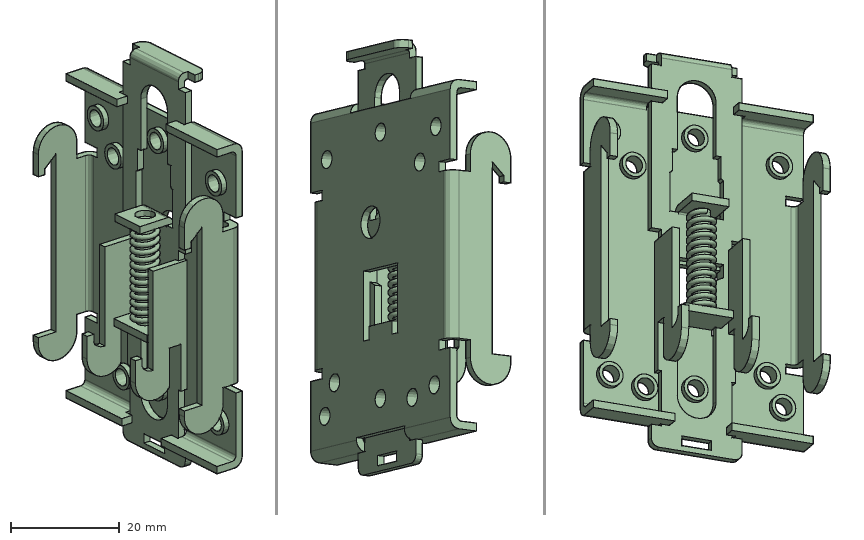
import cadquery as cq
import math

SHEET = 1.5
OUTER_BEND = 2.0
INNER_BEND = 1.0

BASE_HALF = 22.1
BASE_BOTTOM, BASE_TOP = 4.4, 69.7
FLANGE_FRONT = -6.0
NOTCH_FRONT = -3.55
TOP_NOTCH_HALF, TOP_TIP_HALF = 9.45, 7.2
LOW_NOTCH_HALF, LOW_TIP_HALF = 7.6, 5.75
TOP_NOTCH_Z, LOW_NOTCH_Z = 67.8, 6.85
SIDE_BOTTOM, SIDE_TOP = 21.35, 52.8
RELIEF_SIZE = 1.9
RELIEF_HALF = 18.6

BOSS_CENTRES = [
    (-17.6, 61.4), (-12.45, 55.45), (0, 62.85), (17.0, 60.2),
    (-17.1, 13.15), (-10.1, 11.8), (0, 13.1), (14.6, 18.1), (17.65, 12.3),
]
BOSS_DIA, BOSS_HOLE_DIA = 4.8, 3.3
BOSS_HEIGHT = 1.2
BACK_HOLE_DIA = 6.0
BACK_HOLE_X, BACK_HOLE_Z = 3.15, 46.5

HOOK_FRONT = -13.7
HOOK_BACK = -4.6
HOOK_THROAT = -9.5
HOOK_TIP_BACK = -12.1
HOOK_RADIUS = (HOOK_BACK - HOOK_FRONT) / 2
HOOK_MIDDLE = (HOOK_BACK + HOOK_FRONT) / 2
HOOK_TOP, HOOK_BOTTOM = 60.65, 13.5
UPPER_THROAT_Z, UPPER_TIP_Z = 55.05, 51.6
LOWER_TIP_Z = 19.2

SLIDER_BACK = -SHEET
SLIDER_FRONT = SLIDER_BACK - SHEET
SLIDER_TOP = 78.8
SLIDER_WIDE, SLIDER_NARROW = 9.1, 7.1
FOOT_TOP = 4.3
SHOULDER_Z, NECK_Z = 43.3, 75.85
FOOT_CORNER, LIP_CORNER = 1.6, 2.0
LIP_BACK = 2.1
LIP_NECK_BACK = -0.7
LIP_BEND_OUTER, LIP_BEND_INNER = 1.4, 0.5
GRIP_HALF, GRIP_BOTTOM, GRIP_TOP = 3.0, 1.1, 3.0

SLOT_HALF = 7.8 / 2
STEP_HALF, OPENING_HALF = 4.9, 5.35
UPPER_SLOT_TOP, STEP_Z, UPPER_SLOT_BOTTOM = 74.0, 59.7, 47.3
UPPER_TAPER_TOP, UPPER_WIDE_Z = 55.4, 55.0
LOWER_SLOT_TOP, LOWER_WIDE_Z, LOWER_NARROW_Z, LOWER_SLOT_BOTTOM = 38.4, 35.8, 35.0, 7.0

SLIDER_HOOK_X = 7.1
SLIDER_HOOK_TOP, SLIDER_HOOK_SHOULDER, SLIDER_TIP_Z = 41.3, 24.7, 24.4
SLIDER_HOOK_BOTTOM = 15.3
SLIDER_SHANK_BACK = -5.7
SLIDER_THROAT_Z = 21.35
SLIDER_THROAT_ARC_Z = 22.85

UPPER_SEAT_HALF, UPPER_SEAT_FRONT = 3.7, -9.3
UPPER_SEAT_OUTER_BEND, UPPER_SEAT_INNER_BEND = 1.4, 0.3
LOWER_SEAT_HALF, LOWER_SEAT_FRONT = 4.9, -8.6
LOWER_SEAT_NECK_HALF = 7.3 / 2
LOWER_SEAT_TOP = 27.1
SEAT_RELIEF_Z = 24.6
WINDOW_TOP = 37.65
PIN_Y, PIN_DIA = -5.1, 3.3
SEAT_HOLE_DIA, SEAT_HOLE_FLOOR = 3.8, 47.6
WIRE_DIA = 1.0
SPRING_OUTER_DIA = 5.6
SPRING_RISE, SPRING_TURNS = 19.4, 12.75


def block(x_half, y_front, y_back, z_low, z_high):
    """Box centred on X between two depths and two heights."""
    base_centre = (0, (y_front + y_back) / 2, z_low)
    return cq.Workplane("XY", origin=base_centre).rect(2 * x_half, y_back - y_front).extrude(z_high - z_low)


def side_block(x_inner, x_outer, y_front, y_back, z_low, z_high):
    """Box reaching from x_inner to x_outer, with its mirror image."""
    half = cq.Workplane("XY").box(x_outer - x_inner, y_back - y_front, z_high - z_low, centered=False) \
        .translate((x_inner, y_front, z_low))
    return half.union(half.mirror("YZ"))


def side_pair(profile, x_middle):
    """Extrude a YZ outline to one sheet thickness around +x_middle and -x_middle."""
    plate = profile.extrude(SHEET / 2, both=True).translate((x_middle, 0, 0))
    return plate.union(plate.mirror("YZ"))


def along_y(points_xz, diameter, y_front, y_back):
    """Round bars along Y at the given (x, z) centres."""
    return cq.Workplane("XZ", origin=(0, y_back, 0)).pushPoints(points_xz).circle(diameter / 2) \
        .extrude(y_back - y_front)


def fillet_near(body, point, radius):
    """Round the edge whose middle is nearest to the point."""
    return body.edges(cq.selectors.NearestToPointSelector(point)).fillet(radius)


def base_plate():
    """Bent sheet with flanges along both ends and hooked flanges along both sides."""
    body = block(BASE_HALF, FLANGE_FRONT, 0, BASE_BOTTOM, BASE_TOP)
    body = body.cut(block(BASE_HALF, FLANGE_FRONT, -SHEET, BASE_BOTTOM + SHEET, BASE_TOP - SHEET))
    for z_outer, z_inner in ((BASE_BOTTOM, BASE_BOTTOM + SHEET), (BASE_TOP, BASE_TOP - SHEET)):
        body = fillet_near(body, (0, -SHEET, z_inner), INNER_BEND)
        body = fillet_near(body, (0, 0, z_outer), OUTER_BEND)

    body = body.cut(block(TOP_NOTCH_HALF, NOTCH_FRONT, 0, TOP_NOTCH_Z, BASE_TOP))
    body = body.cut(block(TOP_NOTCH_HALF, NOTCH_FRONT, -SHEET, TOP_NOTCH_Z - INNER_BEND, TOP_NOTCH_Z))
    body = body.cut(block(TOP_TIP_HALF, FLANGE_FRONT, 0, TOP_NOTCH_Z, BASE_TOP))
    body = body.cut(block(LOW_NOTCH_HALF, NOTCH_FRONT, 0, BASE_BOTTOM, LOW_NOTCH_Z))
    body = body.cut(block(LOW_TIP_HALF, FLANGE_FRONT, 0, BASE_BOTTOM, LOW_NOTCH_Z))

    for z_low in (SIDE_BOTTOM - RELIEF_SIZE, SIDE_TOP):
        body = body.cut(side_block(RELIEF_HALF, BASE_HALF, -SHEET, 0, z_low, z_low + RELIEF_SIZE))

    body = body.union(side_pair(base_hook_outline(), BASE_HALF - SHEET / 2))
    side_middle = (SIDE_BOTTOM + SIDE_TOP) / 2
    for side in (-1, 1):
        body = fillet_near(body, (side * (BASE_HALF - SHEET), -SHEET, side_middle), INNER_BEND)
        body = fillet_near(body, (side * BASE_HALF, 0, side_middle), OUTER_BEND)
    return body


def base_hook_outline():
    """Side flange with a downward hook at the top and an upward hook at the bottom."""
    return (
        cq.Workplane("YZ")
        .moveTo(0, SIDE_BOTTOM)
        .lineTo(HOOK_BACK, SIDE_BOTTOM)
        .lineTo(HOOK_BACK, HOOK_BOTTOM + HOOK_RADIUS)
        .threePointArc((HOOK_MIDDLE, HOOK_BOTTOM), (HOOK_FRONT, HOOK_BOTTOM + HOOK_RADIUS))
        .lineTo(HOOK_FRONT, LOWER_TIP_Z)
        .lineTo(HOOK_THROAT, LOWER_TIP_Z)
        .lineTo(HOOK_THROAT, UPPER_THROAT_Z)
        .lineTo(HOOK_TIP_BACK, SIDE_TOP)
        .lineTo(HOOK_TIP_BACK, UPPER_TIP_Z)
        .lineTo(HOOK_FRONT, UPPER_TIP_Z)
        .lineTo(HOOK_FRONT, HOOK_TOP - HOOK_RADIUS)
        .threePointArc((HOOK_MIDDLE, HOOK_TOP), (HOOK_BACK, HOOK_TOP - HOOK_RADIUS))
        .lineTo(HOOK_BACK, SIDE_TOP)
        .lineTo(0, SIDE_TOP)
        .close()
    )


def slider_hook_outline():
    """Slider side flange ending in an upward hook with a round bottom."""
    arc_centre_z = SLIDER_HOOK_BOTTOM + HOOK_RADIUS
    shank_drop = math.sqrt(HOOK_RADIUS**2 - (SLIDER_SHANK_BACK - HOOK_MIDDLE)**2)
    throat_radius = HOOK_THROAT - HOOK_TIP_BACK
    return (
        cq.Workplane("YZ")
        .moveTo(SLIDER_BACK, SLIDER_HOOK_TOP)
        .lineTo(SLIDER_BACK, SLIDER_HOOK_SHOULDER)
        .lineTo(SLIDER_SHANK_BACK, SLIDER_HOOK_SHOULDER)
        .lineTo(SLIDER_SHANK_BACK, arc_centre_z - shank_drop)
        .threePointArc((HOOK_MIDDLE, SLIDER_HOOK_BOTTOM), (HOOK_FRONT, arc_centre_z))
        .lineTo(HOOK_FRONT, SLIDER_TIP_Z)
        .lineTo(HOOK_TIP_BACK, SLIDER_TIP_Z)
        .lineTo(HOOK_TIP_BACK, SLIDER_THROAT_ARC_Z)
        .radiusArc((HOOK_THROAT, SLIDER_THROAT_Z), -throat_radius)
        .lineTo(HOOK_THROAT, SLIDER_HOOK_TOP)
        .close()
    )


def slider_openings():
    """Both slots of the slider, as one cutting body."""
    upper = (
        cq.Workplane("XZ", origin=(0, SLIDER_BACK, 0))
        .moveTo(-SLOT_HALF, UPPER_SLOT_TOP - SLOT_HALF)
        .threePointArc((0, UPPER_SLOT_TOP), (SLOT_HALF, UPPER_SLOT_TOP - SLOT_HALF))
        .lineTo(SLOT_HALF, STEP_Z)
        .lineTo(STEP_HALF, STEP_Z)
        .lineTo(STEP_HALF, UPPER_TAPER_TOP)
        .lineTo(OPENING_HALF, UPPER_WIDE_Z)
        .lineTo(OPENING_HALF, UPPER_SLOT_BOTTOM)
        .lineTo(-OPENING_HALF, UPPER_SLOT_BOTTOM)
        .lineTo(-OPENING_HALF, UPPER_WIDE_Z)
        .lineTo(-STEP_HALF, UPPER_TAPER_TOP)
        .lineTo(-STEP_HALF, STEP_Z)
        .lineTo(-SLOT_HALF, STEP_Z)
        .close()
        .extrude(SHEET)
    )
    lower = (
        cq.Workplane("XZ", origin=(0, SLIDER_BACK, 0))
        .moveTo(-SLOT_HALF, LOWER_SLOT_BOTTOM + SLOT_HALF)
        .threePointArc((0, LOWER_SLOT_BOTTOM), (SLOT_HALF, LOWER_SLOT_BOTTOM + SLOT_HALF))
        .lineTo(SLOT_HALF, LOWER_NARROW_Z)
        .lineTo(OPENING_HALF, LOWER_WIDE_Z)
        .lineTo(OPENING_HALF, LOWER_SLOT_TOP)
        .lineTo(-OPENING_HALF, LOWER_SLOT_TOP)
        .lineTo(-OPENING_HALF, LOWER_WIDE_Z)
        .lineTo(-SLOT_HALF, LOWER_NARROW_Z)
        .close()
        .extrude(SHEET)
    )
    return upper.union(lower)


def slider_lip():
    """Neck bent backwards into a lip with rounded corners at the top of the slider."""
    low = SLIDER_TOP - SHEET
    neck = block(SLIDER_NARROW, SLIDER_FRONT, SLIDER_BACK, NECK_Z, SLIDER_TOP)
    neck = neck.union(block(SLIDER_NARROW, SLIDER_FRONT, LIP_NECK_BACK, low, SLIDER_TOP))
    neck = fillet_near(neck, (0, SLIDER_BACK, low), LIP_BEND_INNER)
    neck = fillet_near(neck, (0, SLIDER_FRONT, SLIDER_TOP), LIP_BEND_OUTER)
    lip = block(SLIDER_WIDE, LIP_NECK_BACK, LIP_BACK, low, SLIDER_TOP)
    return neck.union(lip.edges("|Z and >Y").fillet(LIP_CORNER))


def upper_seat():
    """Tab bent forward from the slider that holds the upper end of the spring."""
    low = UPPER_SLOT_BOTTOM
    root = low - SHEET
    tab = block(UPPER_SEAT_HALF, UPPER_SEAT_FRONT, SLIDER_BACK, low, low + SHEET)
    tab = tab.union(block(UPPER_SEAT_HALF, SLIDER_FRONT, SLIDER_BACK, root, low))
    tab = fillet_near(tab, (0, SLIDER_FRONT, low), UPPER_SEAT_INNER_BEND)
    tab = fillet_near(tab, (0, SLIDER_BACK, low + SHEET), UPPER_SEAT_OUTER_BEND)
    hole = cq.Workplane("XY", origin=(0, PIN_Y, SEAT_HOLE_FLOOR)).circle(SEAT_HOLE_DIA / 2).extrude(SHEET)
    return tab.cut(hole)


def slider():
    """Flat sliding plate with its openings, hooks, lip and spring seat."""
    body = block(SLIDER_WIDE, SLIDER_FRONT, SLIDER_BACK, 0, FOOT_TOP).edges("|Y and <Z").fillet(FOOT_CORNER)
    hook_outer = SLIDER_HOOK_X + SHEET / 2
    for half, low, high in (
        (SLIDER_NARROW, FOOT_TOP, SHOULDER_Z),
        (hook_outer, SLIDER_HOOK_BOTTOM, SLIDER_HOOK_TOP),
        (SLIDER_WIDE, SHOULDER_Z, NECK_Z),
    ):
        body = body.union(block(half, SLIDER_FRONT, SLIDER_BACK, low, high))
    body = body.cut(slider_openings())
    body = body.cut(block(GRIP_HALF, SLIDER_FRONT, SLIDER_BACK, GRIP_BOTTOM, GRIP_TOP))
    body = body.union(side_pair(slider_hook_outline(), SLIDER_HOOK_X))
    return body.union(slider_lip()).union(upper_seat())


def lower_seat():
    """T-shaped tab bent forward from the base plate, through the slider, under the spring."""
    low = LOWER_SEAT_TOP - SHEET
    root = block(LOWER_SEAT_NECK_HALF, -SHEET, 0, SEAT_RELIEF_Z, LOWER_SEAT_TOP)
    neck = block(LOWER_SEAT_NECK_HALF, SLIDER_FRONT, 0, low, LOWER_SEAT_TOP)
    head = block(LOWER_SEAT_HALF, LOWER_SEAT_FRONT, SLIDER_FRONT, low, LOWER_SEAT_TOP)
    return root.union(neck).union(head)


def spring():
    """Round wire wound around the guide pin, starting on the lower seat."""
    coil_radius = (SPRING_OUTER_DIA - WIRE_DIA) / 2
    path = cq.Wire.makeHelix(SPRING_RISE / SPRING_TURNS, SPRING_RISE, coil_radius)
    coil = cq.Workplane("XZ", origin=(coil_radius, 0, 0)).circle(WIRE_DIA / 2).sweep(path, isFrenet=True)
    return coil.translate((0, PIN_Y, LOWER_SEAT_TOP))


def guide_pin():
    """Round pin joining the two spring seats inside the spring."""
    return cq.Workplane("XY", origin=(0, PIN_Y, LOWER_SEAT_TOP)).circle(PIN_DIA / 2) \
        .extrude(UPPER_SLOT_BOTTOM - LOWER_SEAT_TOP)


def base_with_details():
    """Base plate with its window, spring seat, back hole and rivet bosses."""
    body = base_plate().cut(block(OPENING_HALF, -SHEET, 0, SEAT_RELIEF_Z, WINDOW_TOP))
    body = body.union(lower_seat())
    body = body.cut(along_y([(BACK_HOLE_X, BACK_HOLE_Z)], BACK_HOLE_DIA, -SHEET, 0))
    body = body.union(along_y(BOSS_CENTRES, BOSS_DIA, -SHEET - BOSS_HEIGHT, -SHEET))
    return body.cut(along_y(BOSS_CENTRES, BOSS_HOLE_DIA, -SHEET - BOSS_HEIGHT, 0))


result = base_with_details().union(slider()).union(guide_pin()).union(spring())